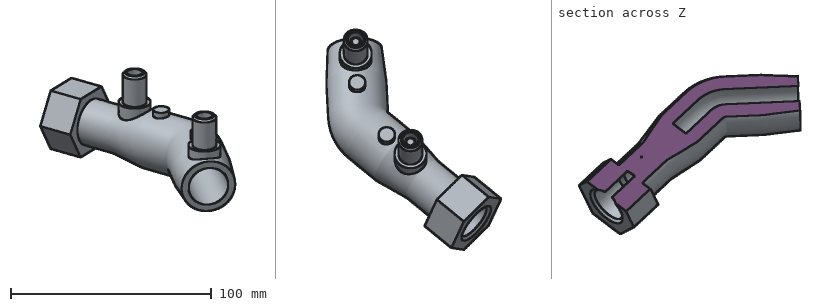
import cadquery as cq
import math


nut_length = 18.1
nut_across_flats = 32.0
neck_radius = 12.0
body_radius = 15.0
outlet_radius = 13.6
section_length = 18.4
neck_end = 36.0
flare_end = neck_end + section_length
bend_start = 73.0
bend_angle = 45
bend_radius = 15.2

inlet_bore_radius = 9.3
inlet_chamfer = 1.5
throat_radius = 6.1
throat_cone_angle = 60
outlet_bore_radius = 10.0

seat_height = 17.8
collar_radius = 8.0
post_radius = 6.0
post_top = 34.0
post_chamfer = 1.2
socket_radius = 3.9
pin_radius = 2.6
pin_chamfer = 0.6
pin_recess = 2.6
indicator_radius = 4.0
terminal_to_flare_end = 10.0
indicator_to_flare_end = 6.0
fitting_spacing = terminal_to_flare_end + indicator_to_flare_end
outlet_indicator_distance = 9.9

bend_rad = math.radians(bend_angle)
bend_end_x = bend_start + bend_radius * math.sin(bend_rad)
bend_end_y = -bend_radius * (1 - math.cos(bend_rad))


def outlet_point(distance):
    """Point on the outlet axis at a distance past the end of the bend."""
    return (bend_end_x + distance * math.cos(bend_rad), bend_end_y - distance * math.sin(bend_rad))


def revolve_inlet(profile):
    """Revolve (x, radius) points about the inlet axis."""
    return cq.Workplane("XY").polyline(profile).close().revolve(360, (0, 0), (1, 0))


def revolve_outlet(profile):
    """Revolve (distance, radius) points about the outlet axis."""
    turned = revolve_inlet(profile).rotate((0, 0, 0), (0, 0, 1), -bend_angle)
    return turned.translate((bend_end_x, bend_end_y, 0))


def bend(radius):
    """Round section swung through the bend."""
    section = cq.Workplane("YZ", origin=(bend_start, 0, 0)).circle(radius)
    return section.revolve(bend_angle, (-bend_radius, 1.2), (-bend_radius, 0))


def disc(center, radius, bottom, top):
    """Vertical cylinder between two heights."""
    return cq.Workplane("XY", origin=(*center, bottom)).circle(radius).extrude(top - bottom)


def terminal(center):
    """Collar and hollow post with a contact pin inside."""
    collar = disc(center, collar_radius, 0, seat_height)
    post = disc(center, post_radius, seat_height, post_top).faces(">Z").chamfer(post_chamfer)
    socket = disc(center, socket_radius, seat_height, post_top)
    pin = disc(center, pin_radius, seat_height, post_top - pin_recess).faces(">Z").chamfer(pin_chamfer)
    return collar.union(post.cut(socket)).union(pin)


nut_across_corners = nut_across_flats / math.cos(math.pi / 6)
nut = cq.Workplane("YZ").polygon(6, nut_across_corners).extrude(nut_length)
inlet_tube = revolve_inlet([
    (0, 0),
    (0, neck_radius),
    (neck_end, neck_radius),
    (flare_end, body_radius),
    (bend_start, body_radius),
    (bend_start, 0),
])
outlet_tube = revolve_outlet([
    (0, 0),
    (0, body_radius),
    (section_length, body_radius),
    (2 * section_length, outlet_radius),
    (2 * section_length, 0),
])
body = nut.union(inlet_tube).union(bend(body_radius)).union(outlet_tube)

inlet_terminal = (flare_end - terminal_to_flare_end, 0)
inlet_indicator = (flare_end + indicator_to_flare_end, 0)
outlet_indicator = outlet_point(outlet_indicator_distance)
outlet_terminal = outlet_point(outlet_indicator_distance + fitting_spacing)
for position in (inlet_terminal, outlet_terminal):
    body = body.union(terminal(position))
for position in (inlet_indicator, outlet_indicator):
    body = body.union(disc(position, indicator_radius, body_radius / 2, seat_height))

throat_cone_length = (inlet_bore_radius - throat_radius) / math.tan(math.radians(throat_cone_angle))
inlet_bore = revolve_inlet([
    (0, 0),
    (0, inlet_bore_radius + inlet_chamfer),
    (inlet_chamfer, inlet_bore_radius),
    (nut_length, inlet_bore_radius),
    (nut_length + throat_cone_length, throat_radius),
    (flare_end, throat_radius),
    (flare_end, outlet_bore_radius),
    (bend_start, outlet_bore_radius),
    (bend_start, 0),
])
outlet_bore = revolve_outlet([
    (0, 0),
    (0, outlet_bore_radius),
    (2 * section_length, outlet_bore_radius),
    (2 * section_length, 0),
])
result = body.cut(inlet_bore).cut(bend(outlet_bore_radius)).cut(outlet_bore)